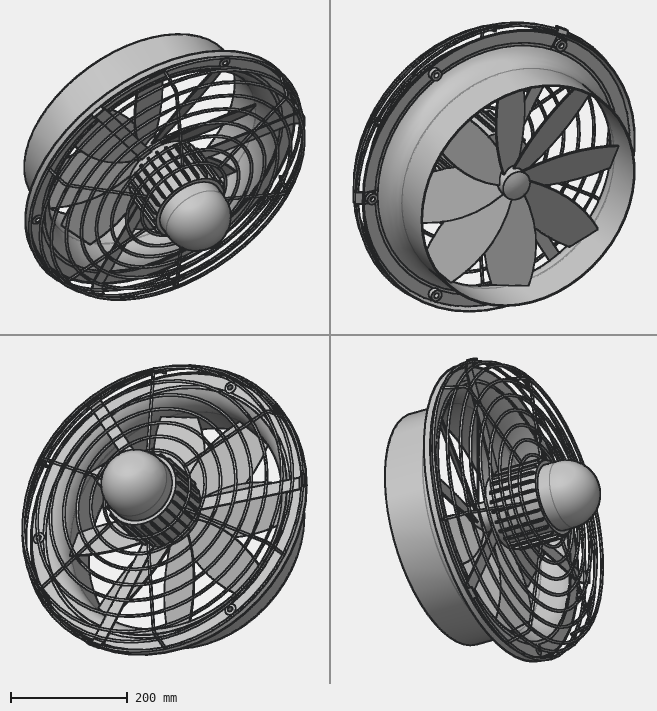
import cadquery as cq
import math


duct_radius = 206.2
duct_length = 74.0
wall = 2.0
bell_radius = 51.0
flange_back = 119.0
plate_thickness = 1.5
plate_front = flange_back - plate_thickness
lip_front = flange_back - wall
lip_radius = 235.0
flange_rim_front = 109.4
flange_rim_radius = 263.3
flange_plate_radius = 258.0

bush_circle_radius = 243.0
bush_radius = 10.0
bush_hole_radius = 4.5
open_bush_front = 106.6
strap_bush_front = 110.0
bush_count = 6

motor_radius = 66.3
motor_end = 218.0
dome_radius = 59.0
total_length = 299.8
dome_start = total_length - dome_radius
fin_count = 24
fin_radius = 71.0
fin_start = 128.5
fin_end = 215.0
fin_thickness = 3.0
fin_chamfer = 3.0

strap_width = 22.0
strap_thickness = 2.5
strap_bend_radius = 254.0
strap_tab_radius = 267.77
strap_tab_start = 127.0
strap_tab_end = 135.5
strap_angles = (60, 180, 300)

hub_radius = 26.0
hub_dome_height = 6.0
hub_front = 43.0
blade_count = 8
blade_pitch = 30.0
blade_thickness = 2.5
blade_center = 67.0
blade_tip_radius = 200.5
blade_tip_width = 55.0
blade_belly_radius = 97.0
blade_belly_width = 75.0
blade_root_radius = 20.0
blade_root_width = 37.0

wire_radius = 2.0
guard_outer_radius = 265.7
rim_ring_positions = ((128.3, guard_outer_radius - wire_radius), (152.3, 256.3))
face_ring_count = 7
face_ring_radius = 246.0
face_ring_pitch = 27.4
face_ring_start = 172.2
face_ring_step = 3.8
spoke_count = 6
spoke_start = 123.4
spoke_start_radius = 261.3
spoke_corner_radius = 250.0
spoke_offset = 3.0
spoke_bend = 6.0


def revolve_about_axis(profile):
    """Revolve an (X, radius) profile drawn in the XY plane about the X axis."""
    return profile.close().revolve(360, (0, 0, 0), (1, 0, 0))


def around_axis(body, angle):
    """Turn a body about the X axis; 0 degrees points along -Y, 90 along +Z."""
    return body.rotate((0, 0, 0), (1, 0, 0), 180 - angle)


def bell_point(radius, angle):
    """Point on an arc centred outside the end of the duct, at an angle from the duct."""
    center_radius = duct_radius + bell_radius
    return (duct_length + radius * math.sin(angle), center_radius - radius * math.cos(angle))


def make_housing():
    inner_bell = bell_radius + wall
    outer_end = math.asin((lip_front - duct_length) / bell_radius)
    inner_end = math.asin((flange_back - duct_length) / inner_bell)
    profile = (
        cq.Workplane("XY")
        .moveTo(0, duct_radius - wall)
        .lineTo(0, duct_radius)
        .lineTo(duct_length, duct_radius)
        .threePointArc(bell_point(bell_radius, outer_end / 2), bell_point(bell_radius, outer_end))
        .lineTo(lip_front, lip_radius)
        .lineTo(plate_front, lip_radius)
        .lineTo(plate_front, flange_plate_radius - plate_thickness)
        .lineTo(flange_rim_front, flange_rim_radius - plate_thickness)
        .lineTo(flange_rim_front, flange_rim_radius)
        .lineTo(flange_back, flange_plate_radius)
        .lineTo(*bell_point(inner_bell, inner_end))
        .threePointArc(bell_point(inner_bell, inner_end / 2), (duct_length, duct_radius - wall))
    )
    return revolve_about_axis(profile)


def bush_cylinder(radius, front, angle):
    cylinder = (
        cq.Workplane("YZ", origin=(front, 0, 0))
        .center(bush_circle_radius, 0)
        .circle(radius)
        .extrude(flange_back - front)
    )
    return around_axis(cylinder, angle)


def add_bushes(body):
    for index in range(bush_count):
        angle = index * 360 / bush_count
        front = strap_bush_front if angle in strap_angles else open_bush_front
        body = body.union(bush_cylinder(bush_radius, front, angle))
        body = body.cut(bush_cylinder(bush_hole_radius, front, angle))
    return body


def make_motor():
    profile = (
        cq.Workplane("XY")
        .moveTo(flange_back, 0)
        .lineTo(flange_back, motor_radius)
        .lineTo(motor_end, motor_radius)
        .lineTo(motor_end, dome_radius)
        .lineTo(dome_start, dome_radius)
        .radiusArc((total_length, 0), dome_radius)
    )
    motor = revolve_about_axis(profile)
    fin = (
        cq.Workplane("XY", origin=(0, 0, -fin_thickness / 2))
        .moveTo(fin_start, dome_radius)
        .lineTo(fin_start, fin_radius - fin_chamfer)
        .lineTo(fin_start + fin_chamfer, fin_radius)
        .lineTo(fin_end - fin_chamfer, fin_radius)
        .lineTo(fin_end, fin_radius - fin_chamfer)
        .lineTo(fin_end, dome_radius)
        .close()
        .extrude(fin_thickness)
    )
    for index in range(fin_count):
        motor = motor.union(around_axis(fin, index * 360 / fin_count))
    return motor


def make_strap():
    """Flat bar from the motor over the flange, bent back into a tab that holds the guard."""
    inner_tab_radius = strap_tab_radius - strap_thickness
    return (
        cq.Workplane("XY", origin=(0, 0, -strap_width / 2))
        .moveTo(flange_back, dome_radius)
        .lineTo(flange_back, strap_bend_radius)
        .lineTo(strap_tab_start, strap_tab_radius)
        .lineTo(strap_tab_end, strap_tab_radius)
        .lineTo(strap_tab_end, inner_tab_radius)
        .lineTo(strap_tab_start + strap_thickness, inner_tab_radius)
        .lineTo(flange_back + strap_thickness, strap_bend_radius)
        .lineTo(flange_back + strap_thickness, dome_radius)
        .close()
        .extrude(strap_width)
    )


def make_blade():
    """Flat blade along +Y, pitched about its own radial axis."""
    blade = (
        cq.Workplane("YZ", origin=(-blade_thickness / 2, 0, 0))
        .moveTo(blade_root_radius, -chord(blade_root_width) / 2)
        .spline(
            [
                (blade_belly_radius, -chord(blade_belly_width) / 2),
                (blade_tip_radius, -chord(blade_tip_width) / 2),
            ],
            includeCurrent=True,
        )
        .lineTo(blade_tip_radius, chord(blade_tip_width) / 2)
        .spline(
            [
                (blade_belly_radius, chord(blade_belly_width) / 2),
                (blade_root_radius, chord(blade_root_width) / 2),
            ],
            includeCurrent=True,
        )
        .close()
        .extrude(blade_thickness)
    )
    return blade.rotate((0, 0, 0), (0, 1, 0), blade_pitch).translate((blade_center, 0, 0))


def chord(axial_view_width):
    """Width within the pitched blade for a given width seen along the fan axis."""
    return axial_view_width / math.cos(math.radians(blade_pitch))


def make_impeller():
    dome_sphere = (hub_radius**2 + hub_dome_height**2) / (2 * hub_dome_height)
    profile = (
        cq.Workplane("XY")
        .moveTo(hub_front - hub_dome_height, 0)
        .radiusArc((hub_front, hub_radius), dome_sphere)
        .lineTo(flange_back, hub_radius)
        .lineTo(flange_back, 0)
    )
    impeller = revolve_about_axis(profile)
    blade = make_blade()
    for index in range(blade_count):
        impeller = impeller.union(around_axis(blade, index * 360 / blade_count))
    return impeller


def make_ring(position, radius):
    center = cq.Vector(position, 0, 0)
    return cq.Workplane(cq.Solid.makeTorus(radius, wire_radius, center, cq.Vector(1, 0, 0)))


def make_spoke():
    """Wire bent at the corner of the guard, running inside the rings down to the smallest one."""
    last = face_ring_count - 1
    slope = face_ring_step / face_ring_pitch
    corner_x = face_ring_start - spoke_offset - slope * (spoke_corner_radius - face_ring_radius)
    inner_radius = face_ring_radius - last * face_ring_pitch
    inner_x = face_ring_start + last * face_ring_step - spoke_offset
    start = (spoke_start, spoke_start_radius)
    corner = (corner_x, spoke_corner_radius)
    reach = math.dist(start, corner)
    along = ((corner_x - start[0]) / reach, (corner[1] - start[1]) / reach)
    before = (corner_x - spoke_bend * along[0], corner[1] - spoke_bend * along[1])
    after = (corner_x + spoke_bend * slope, corner[1] - spoke_bend)
    path = (
        cq.Workplane("XY")
        .moveTo(*start)
        .lineTo(*before)
        .tangentArcPoint(after, relative=False)
        .lineTo(inner_x, inner_radius)
    )
    section = cq.Workplane(cq.Plane((*start, 0), (0, 0, 1), (*along, 0))).circle(wire_radius)
    return section.sweep(path)


def make_guard():
    """All rings and spokes, fused in one step because every wire crosses many others."""
    spoke = make_spoke()
    wires = [around_axis(spoke, 90 + index * 360 / spoke_count) for index in range(spoke_count)]
    for position, radius in rim_ring_positions:
        wires.append(make_ring(position, radius))
    for index in range(face_ring_count):
        position = face_ring_start + index * face_ring_step
        wires.append(make_ring(position, face_ring_radius - index * face_ring_pitch))
    first, *others = [wire.val() for wire in wires]
    return cq.Workplane(first.fuse(*others))


result = add_bushes(make_housing()).union(make_motor()).union(make_impeller())
for strap_angle in strap_angles:
    result = result.union(around_axis(make_strap(), strap_angle))
result = result.union(make_guard())